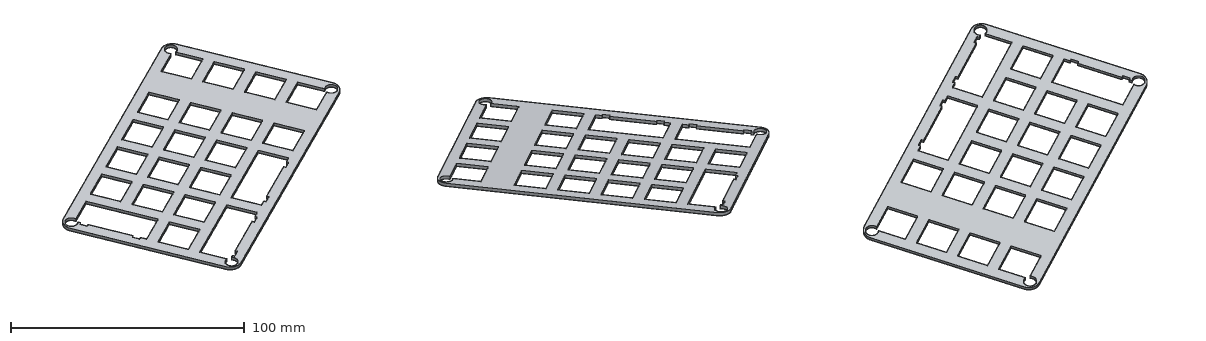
import cadquery as cq

plate_width = 81.3
plate_length = 128.9
plate_thickness = 1.5
corner_radius = 5.0

key_size = 13.9
edge_margin = 5.0
column_count = 4
main_row_count = 5
top_row_gap = 1.5
row_span = main_row_count - 1 + top_row_gap
key_pitch = (plate_length - 2 * edge_margin - key_size) / row_span

notch_width = 3.4
notch_depth = 1.0
notch_offset = 12.0
notch_reach = key_size / 2 + notch_depth

corner_hole_diameter = 5.5
corner_hole_inset = 4.0


def key_center(column, row):
    """Centre of a grid cell; fractional indices fall between cells."""
    x = (column - (column_count - 1) / 2) * key_pitch
    y = (row - row_span / 2) * key_pitch
    return x, y


def cutter(x, y, size_x, size_y):
    """Rectangular block through the whole plate."""
    return cq.Workplane("XY").center(x, y).rect(size_x, size_y).extrude(plate_thickness)


def single_opening(column, row):
    x, y = key_center(column, row)
    return cutter(x, y, key_size, key_size)


def wide_opening(column, row):
    """Opening over two columns, notched on its -Y edge."""
    x, y = key_center(column + 0.5, row)
    opening = cutter(x, y, key_size + key_pitch, key_size)
    for side in (-1, 1):
        notch = cutter(x + side * notch_offset, y - notch_reach / 2, notch_width, notch_reach)
        opening = opening.union(notch)
    return opening


def tall_opening(column, row):
    """Opening over two rows, notched on its +X edge."""
    x, y = key_center(column, row + 0.5)
    opening = cutter(x, y, key_size, key_size + key_pitch)
    for side in (-1, 1):
        notch = cutter(x + notch_reach / 2, y + side * notch_offset, notch_reach, notch_width)
        opening = opening.union(notch)
    return opening


result = (
    cq.Workplane("XY")
    .rect(plate_width, plate_length)
    .extrude(plate_thickness)
    .edges("|Z")
    .fillet(corner_radius)
)

for column in range(column_count):
    result = result.cut(single_opening(column, row_span))

last_column = column_count - 1
last_row = main_row_count - 1
double_cells = [(0, 0), (1, 0)] + [(last_column, row) for row in range(last_row)]
for row in range(main_row_count):
    for column in range(column_count):
        if (column, row) not in double_cells:
            result = result.cut(single_opening(column, row))

result = result.cut(wide_opening(0, 0))
for row in range(0, last_row, 2):
    result = result.cut(tall_opening(last_column, row))

corner_holes = (
    cq.Workplane("XY")
    .rect(plate_width - 2 * corner_hole_inset, plate_length - 2 * corner_hole_inset, forConstruction=True)
    .vertices()
    .circle(corner_hole_diameter / 2)
    .extrude(plate_thickness)
)
result = result.cut(corner_holes)